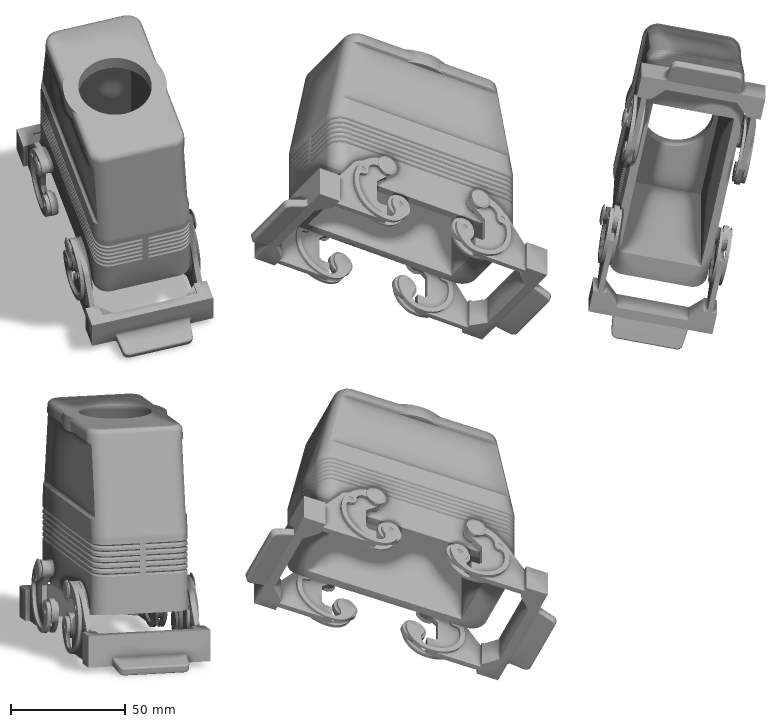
import cadquery as cq
import math


HOOD_LENGTH = 94.0
HOOD_WIDTH = 43.6
HOOD_HEIGHT = 81.0
HOOD_TOP_LENGTH = 76.3
TAPER_START = 34.5
BEND_RADIUS = 6.8
CORNER_RADIUS = 6.5
TOP_FILLET = 2.5
TOP_THICKNESS = 6.7
CAVITY_LENGTH = 73.0
CAVITY_WIDTH = 36.3

PANEL_DEPTH = 1.3
PANEL_BOTTOM = 41.7
PANEL_TOP = HOOD_HEIGHT - TOP_THICKNESS
FLANGE_EDGE_RISE = 0.7

COLLAR_RADIUS = 22.8
ENTRY_RADIUS = 16.1

GROOVE_COUNT = 6
GROOVE_BAND_HEIGHT = 14.2
GROOVE_HEIGHT = 1.4
GROOVE_PITCH = (GROOVE_BAND_HEIGHT - GROOVE_HEIGHT) / (GROOVE_COUNT - 1)
GROOVE_DEPTH = 0.8
FIRST_GROOVE = 17.2
END_WEB_WIDTH = 2.6

EMBED = 1.4

ARM_INNER_Y = 22.1
PLATE_INNER_Y = 23.3
PLATE_OUTER_Y = 25.6
ARM_OUTER_Y = 27.3
HEAD_INNER_Y = 28.2
HEAD_OUTER_Y = 29.0

ARC_X = -23.9
ARC_Z = -4.9
ARC_RADIUS = 16.1
BAND_WIDTH = 2.2
PLATE_SETBACK = 0.1
PIN_Z = 7.4
PIN_BOSS_RADIUS = ARC_Z + ARC_RADIUS - PIN_Z
PIN_NECK_RADIUS = 2.5
PIN_HEAD_RADIUS = 4.6
PIN_FACE_RADIUS = 3.5
PIN_HEAD_BEVEL = 0.5
PIN_ROOT_Y = HOOD_WIDTH / 2 - EMBED
ROLLER_X = -16.4
ROLLER_Z = -10.1
ROLLER_RADIUS = 5.6
ROLLER_HUB_RADIUS = 4.2
HOLE_X = -35.5
HOLE_Z = 1.8
HOLE_RADIUS = 1.2
HOLE_DEPTH = 0.4
LOBE_RADIUS = 2.5

FRAME_OUTER_X = -58.0
FRAME_BAR_X = -53.7
FRAME_INNER_X = -47.8
FRAME_HALF_WIDTH = 27.7
FRAME_ARM_Y = 21.7
FRAME_TOP = -6.7
FRAME_BOTTOM = -20.7
GUSSET_DROP = 1.0

TAB_TIP_X = -68.1
TAB_BOTTOM = -23.2
TAB_ANGLE = 16.0
TAB_THICKNESS = 3.8
TAB_ROOT_HALF_WIDTH = 17.0
TAB_TIP_HALF_WIDTH = 15.7
TAB_CORNER_RADIUS = 2.7
TAB_EDGE_FILLET = 0.8
TAB_ROOT_FILLET = 1.2


def make_hood_blank():
    """Hood block with leaning ends, rounded bends, corners and top edge."""
    blank = (
        cq.Workplane("XZ")
        .moveTo(-HOOD_LENGTH / 2, 0)
        .lineTo(HOOD_LENGTH / 2, 0)
        .lineTo(HOOD_LENGTH / 2, TAPER_START)
        .lineTo(HOOD_TOP_LENGTH / 2, HOOD_HEIGHT)
        .lineTo(-HOOD_TOP_LENGTH / 2, HOOD_HEIGHT)
        .lineTo(-HOOD_LENGTH / 2, TAPER_START)
        .close()
        .extrude(HOOD_WIDTH / 2, both=True)
    )
    bends = cq.selectors.BoxSelector(
        (-HOOD_LENGTH, -HOOD_WIDTH, TAPER_START - 0.1),
        (HOOD_LENGTH, HOOD_WIDTH, TAPER_START + 0.1),
    )
    blank = blank.edges(bends).fillet(BEND_RADIUS)
    blank = blank.edges("(not #Z) and (not |Y) and (not |X)").fillet(CORNER_RADIUS)
    return blank.faces(">Z").edges().fillet(TOP_FILLET)


def make_hood():
    hood = make_hood_blank()
    for side in (-1, 1):
        outer = side * HOOD_WIDTH / 2
        floor = outer - side * PANEL_DEPTH
        panel = (
            cq.Workplane("YZ")
            .moveTo(outer, PANEL_BOTTOM)
            .lineTo(floor, PANEL_BOTTOM + PANEL_DEPTH)
            .lineTo(floor, PANEL_TOP)
            .lineTo(outer, PANEL_TOP + FLANGE_EDGE_RISE)
            .close()
            .extrude(HOOD_LENGTH / 2, both=True)
        )
        hood = hood.cut(panel)

    collar = (
        cq.Workplane("XY")
        .workplane(offset=PANEL_TOP)
        .circle(COLLAR_RADIUS)
        .extrude(TOP_THICKNESS)
    )
    hood = hood.union(collar)

    cavity = cq.Workplane("XY").rect(CAVITY_LENGTH, CAVITY_WIDTH).extrude(PANEL_TOP)
    entry = cq.Workplane("XY").circle(ENTRY_RADIUS).extrude(HOOD_HEIGHT)
    return hood.cut(cavity).cut(entry).cut(make_grooves())


def hood_outline(inset, z):
    """Sketch of the hood's outline moved inwards, at height z."""
    outline = cq.Sketch().rect(HOOD_LENGTH - 2 * inset, HOOD_WIDTH - 2 * inset)
    return outline.vertices().fillet(CORNER_RADIUS - inset).moved(cq.Location((0, 0, z)))


def make_grooves():
    """V-shaped grooves all round, interrupted by a plain web on each end face."""
    middle = GROOVE_HEIGHT / 2
    core = (
        cq.Workplane("XY")
        .placeSketch(hood_outline(0, 0), hood_outline(GROOVE_DEPTH, middle))
        .loft(ruled=True)
    )
    core = core.union(core.mirror("XY", (0, 0, middle)))
    ring = cq.Workplane("XY").rect(2 * HOOD_LENGTH, 2 * HOOD_WIDTH).extrude(GROOVE_HEIGHT)
    web = cq.Workplane("XY").rect(HOOD_LENGTH, END_WEB_WIDTH).extrude(GROOVE_HEIGHT)
    groove = ring.cut(core).cut(web)
    heights = [(0, 0, FIRST_GROOVE + i * GROOVE_PITCH) for i in range(GROOVE_COUNT)]
    return cq.Workplane("XY").pushPoints(heights).eachpoint(groove.val())


def lever_plane(y):
    """XZ sketch plane on the -Y side; extruding goes outwards, away from the hood."""
    return cq.Workplane("XZ", origin=(0, -y, 0))


def disc(x, z, radius, inner_y, outer_y):
    return lever_plane(inner_y).center(x, z).circle(radius).extrude(outer_y - inner_y)


def arc_point(radius, angle):
    """Point at an angle in degrees on a circle about the lever's arc centre."""
    turn = math.radians(angle)
    return (ARC_X + radius * math.cos(turn), ARC_Z + radius * math.sin(turn))


def make_plate():
    """Flat plate from the frame up to the pin, with the hook opening cut away."""
    boss = PIN_BOSS_RADIUS - PLATE_SETBACK
    boss_top = (ARC_X, PIN_Z + boss)
    return (
        lever_plane(PLATE_INNER_Y)
        .moveTo(FRAME_INNER_X - EMBED, FRAME_BOTTOM)
        .lineTo(-22.6, FRAME_BOTTOM)
        .lineTo(-22.6, -12.4)
        .lineTo(-26.3, -12.4)
        .lineTo(-27.5, -11.2)
        .lineTo(-27.5, -0.8)
        .lineTo(ARC_X + 0.6 * boss, PIN_Z - 0.8 * boss)
        .threePointArc((ARC_X + boss, PIN_Z), boss_top)
        .threePointArc((-31.8, 9.0), (-37.3, 6.4))
        .threePointArc((-38.8, 5.5), (-40.0, 4.0))
        .lineTo(FRAME_INNER_X, FRAME_TOP)
        .lineTo(FRAME_INNER_X - EMBED, FRAME_TOP)
        .close()
        .extrude(PLATE_OUTER_Y - PLATE_INNER_Y)
    )


def make_arm(inner_y, outer_y):
    """Curved band from the pin boss, round the arc, to the roller hub."""
    inner_radius = ARC_RADIUS - BAND_WIDTH
    boss_top = (ARC_X, PIN_Z + PIN_BOSS_RADIUS)
    boss_bottom = (ARC_X, PIN_Z - PIN_BOSS_RADIUS)
    band = (
        lever_plane(inner_y)
        .moveTo(*boss_top)
        .threePointArc(arc_point(ARC_RADIUS, 180), arc_point(ARC_RADIUS, 285))
        .threePointArc((-15.5, -17.7), (ROLLER_X + ROLLER_HUB_RADIUS, ROLLER_Z - 0.8))
        .lineTo(ROLLER_X, ROLLER_Z)
        .lineTo(-19.8, -12.5)
        .threePointArc((-19.2, -16.1), arc_point(inner_radius, 278))
        .threePointArc(arc_point(inner_radius, 220), arc_point(inner_radius, 170))
        .threePointArc((-36.8, -1.1), (HOLE_X, HOLE_Z - LOBE_RADIUS))
        .threePointArc((HOLE_X + 1.8, HOLE_Z - 1.8), (HOLE_X + LOBE_RADIUS, HOLE_Z + 0.3))
        .threePointArc((-31.9, 5.0), (-29.0, 6.4))
        .lineTo(ARC_X - PIN_BOSS_RADIUS, 6.4)
        .lineTo(*boss_bottom)
        .threePointArc((ARC_X + PIN_BOSS_RADIUS, PIN_Z), boss_top)
        .close()
        .extrude(outer_y - inner_y)
    )
    return band.union(disc(ROLLER_X, ROLLER_Z, ROLLER_HUB_RADIUS, inner_y, outer_y))


def make_pin():
    neck = disc(ARC_X, PIN_Z, PIN_NECK_RADIUS, PIN_ROOT_Y, HEAD_INNER_Y)
    head = disc(ARC_X, PIN_Z, PIN_HEAD_RADIUS, HEAD_INNER_Y, HEAD_OUTER_Y)
    head = head.faces("<Y").chamfer(PIN_HEAD_BEVEL, PIN_HEAD_RADIUS - PIN_FACE_RADIUS)
    return neck.union(head)


def make_side():
    """Everything of the left lever that lies on the -Y side of the hood."""
    side = (
        make_plate()
        .union(make_arm(ARM_INNER_Y, PLATE_INNER_Y))
        .union(make_arm(PLATE_OUTER_Y, ARM_OUTER_Y))
        .union(disc(ROLLER_X, ROLLER_Z, ROLLER_RADIUS, PLATE_INNER_Y, PLATE_OUTER_Y))
        .union(make_pin())
    )
    for x, z in ((HOLE_X, HOLE_Z), (ROLLER_X, ROLLER_Z)):
        side = side.cut(disc(x, z, HOLE_RADIUS, ARM_OUTER_Y - HOLE_DEPTH, ARM_OUTER_Y))
    return side


def make_frame():
    bar_inset = FRAME_INNER_X - FRAME_BAR_X
    frame = (
        cq.Workplane("XY")
        .workplane(offset=FRAME_BOTTOM)
        .moveTo(FRAME_OUTER_X, -FRAME_HALF_WIDTH)
        .lineTo(FRAME_INNER_X, -FRAME_HALF_WIDTH)
        .lineTo(FRAME_INNER_X, -FRAME_ARM_Y)
        .lineTo(FRAME_BAR_X, -FRAME_ARM_Y)
        .lineTo(FRAME_BAR_X, FRAME_ARM_Y)
        .lineTo(FRAME_INNER_X, FRAME_ARM_Y)
        .lineTo(FRAME_INNER_X, FRAME_HALF_WIDTH)
        .lineTo(FRAME_OUTER_X, FRAME_HALF_WIDTH)
        .close()
        .extrude(FRAME_TOP - FRAME_BOTTOM)
    )
    for side in (-1, 1):
        gusset = (
            cq.Workplane("XY")
            .workplane(offset=FRAME_BOTTOM)
            .moveTo(FRAME_BAR_X, side * FRAME_ARM_Y)
            .lineTo(FRAME_INNER_X, side * FRAME_ARM_Y)
            .lineTo(FRAME_BAR_X, side * (FRAME_ARM_Y - bar_inset))
            .close()
            .extrude(FRAME_TOP - GUSSET_DROP - FRAME_BOTTOM)
        )
        frame = frame.union(gusset)
    return frame


def make_tab():
    """Tab drawn flat with its lower tip edge at the origin, then tilted and placed."""
    reach = (FRAME_OUTER_X - TAB_TIP_X) / math.cos(math.radians(TAB_ANGLE)) + EMBED
    tab = (
        cq.Workplane("XY")
        .moveTo(0, -TAB_TIP_HALF_WIDTH)
        .lineTo(reach, -TAB_ROOT_HALF_WIDTH)
        .lineTo(reach, TAB_ROOT_HALF_WIDTH)
        .lineTo(0, TAB_TIP_HALF_WIDTH)
        .close()
        .extrude(TAB_THICKNESS)
    )
    tab = tab.edges("|Z and <X").fillet(TAB_CORNER_RADIUS)
    tab = tab.edges("(>Z or <Z) and (not >X)").fillet(TAB_EDGE_FILLET)
    tab = tab.rotate((0, 0, 0), (0, 1, 0), -TAB_ANGLE)
    box = tab.val().BoundingBox()
    return tab.translate((TAB_TIP_X - box.xmin, 0, TAB_BOTTOM - box.zmin))


def round_tab_root(frame):
    """Blend the tab into the frame's outer face along its top and sides."""
    margin = 0.7
    root = cq.selectors.BoxSelector(
        (FRAME_OUTER_X - 0.1, -TAB_ROOT_HALF_WIDTH - margin, FRAME_BOTTOM + margin),
        (FRAME_OUTER_X + 0.1, TAB_ROOT_HALF_WIDTH + margin, FRAME_TOP - margin),
    )
    return frame.edges(root).fillet(TAB_ROOT_FILLET)


def add_sides(frame):
    side = make_side()
    return frame.union(side).union(side.mirror("XZ"))


plain_frame = make_frame().union(make_tab())
left_lever = add_sides(plain_frame)
right_lever = add_sides(round_tab_root(plain_frame)).mirror("YZ")
result = make_hood().union(left_lever).union(right_lever)